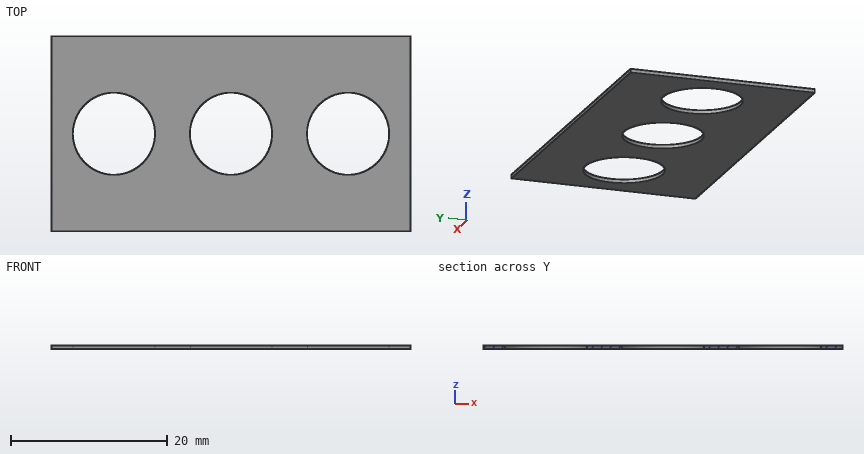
import cadquery as cq

plate_length = 46.0
plate_width = 25.0
plate_thickness = 0.5

hole_diameter = 10.5
hole_count = 3
hole_pitch = 15.0


def make_plate():
    """Flat rectangular plate centred on the origin."""
    return cq.Workplane("XY").box(plate_length, plate_width, plate_thickness)


def cut_hole_row(plate):
    """Cut the evenly spaced holes, with the row centred on the plate."""
    return (
        plate.faces(">Z")
        .workplane()
        .rarray(hole_pitch, hole_pitch, hole_count, 1)
        .hole(hole_diameter)
    )


result = cut_hole_row(make_plate())